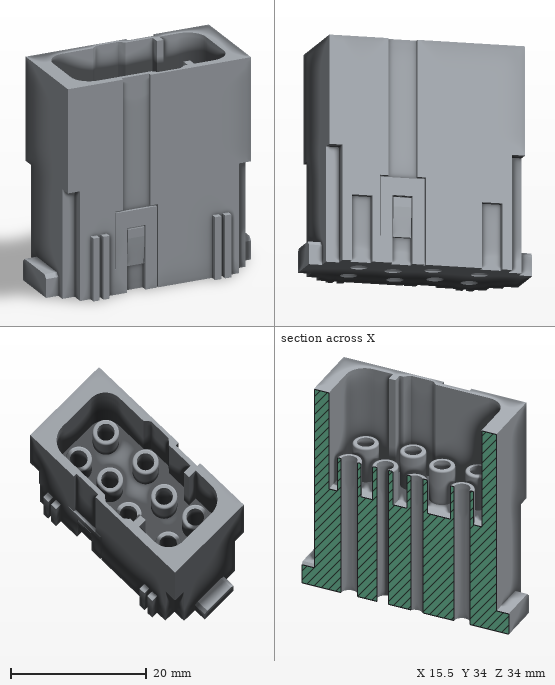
import cadquery as cq

WIDTH = 14.52
LENGTH = 30.0
OVERALL_LENGTH = 34.0
HEIGHT = 34.0
CORNER_CUT_X = 1.9
CORNER_CUT_Y = 2.0
CORNER_CUT_HEIGHT = 17.45

CAVITY_WIDTH = 12.0
CAVITY_LENGTH = 25.0
CAVITY_CORNER_RADIUS = 3.0
CAVITY_FLOOR = CORNER_CUT_HEIGHT
POCKET_RADIUS = 3.47
POCKET_REACH = 6.73
KEY_LENGTH = 1.43
KEY_WIDTH = 1.1
KEY_Y = 5.75

TUBE_DIAMETER = 3.9
TUBE_TOP = 23.2
TUBE_TOP_ROUNDING = 0.27
BORE_DIAMETER = 2.6
END_CONTACT = (2.85, 9.25)
MIDDLE_CONTACT = (1.9, -3.75)
SIDE_CONTACT = (3.75, 1.9)

TAB_PROJECTION = (OVERALL_LENGTH - LENGTH) / 2
TAB_HEIGHT = 3.57
TAB_BEVEL = 0.58
FRONT_TAB_WIDTH = 8.0
BACK_TAB_WIDTH = 6.12

JOINT_Y = 9.95
JOINT_HEIGHT = 10.0
RIB_PROJECTION = 1.02
RIB_WIDTH = 1.02
RIB_PAIR_SPAN = 2.65
NOTCH_WIDTH = 3.13
NOTCH_DEPTH = 1.0

GROOVE_Y = 3.7
GROOVE_WIDTH = 4.5
GROOVE_DEPTH = 0.58
RECESS_WIDTH = 7.0
RECESS_TOP = 13.23
PLATE_THICKNESS = 0.45
PLATE_FOOT = 4.05
PLATE_TOP_GAP = 0.27
PLATE_INNER_GAP = 0.25
PLATE_OUTER_GAP = 0.07
WINDOW_WIDTH = 3.03
WINDOW_TOP = 10.27
WEDGE_GAP = 0.15
WEDGE_TOP = JOINT_HEIGHT
WEDGE_KNEE = 8.57
WEDGE_SLOPE_DEPTH = 0.4


def block(x_range, y_range, z_range):
    """Box filling the given ranges, each a (low, high) pair."""
    sizes = [high - low for low, high in (x_range, y_range, z_range)]
    corner = (x_range[0], y_range[0], z_range[0])
    return cq.Workplane("XY").box(*sizes, centered=False).translate(corner)


def span(centre, size):
    return (centre - size / 2, centre + size / 2)


def half_turn(shape):
    """The shape turned 180 degrees about the vertical centre line."""
    return shape.rotate((0, 0, 0), (0, 0, 1), 180)


def make_block():
    body = block(span(0, WIDTH), span(0, LENGTH), (0, HEIGHT))
    for x in (-WIDTH / 2, WIDTH / 2):
        for y in (-LENGTH / 2, LENGTH / 2):
            corner = block(span(x, 2 * CORNER_CUT_X), span(y, 2 * CORNER_CUT_Y), (0, CORNER_CUT_HEIGHT))
            body = body.cut(corner)
    return body


def make_cavity():
    depth = HEIGHT - CAVITY_FLOOR
    cavity = block(span(0, CAVITY_WIDTH), span(0, CAVITY_LENGTH), (CAVITY_FLOOR, HEIGHT))
    cavity = cavity.edges("|Z").fillet(CAVITY_CORNER_RADIUS)

    pocket = cq.Workplane("XY", origin=(*SIDE_CONTACT, CAVITY_FLOOR)).circle(POCKET_RADIUS).extrude(depth)
    pocket = pocket.intersect(block((0, POCKET_REACH), span(0, LENGTH), (CAVITY_FLOOR, HEIGHT)))
    cavity = cavity.union(pocket).union(half_turn(pocket))

    for side in (-1, 1):
        key_x = side * (CAVITY_WIDTH - KEY_LENGTH) / 2
        cavity = cavity.cut(block(span(key_x, KEY_LENGTH), span(KEY_Y, KEY_WIDTH), (CAVITY_FLOOR, HEIGHT)))
    return cavity


def contact_points():
    end_x, end_y = END_CONTACT
    points = [(end_x, end_y), (-end_x, end_y)]
    points += [MIDDLE_CONTACT, SIDE_CONTACT]
    return points + [(-x, -y) for x, y in points]


def add_contacts(body):
    points = contact_points()
    tubes = cq.Workplane("XY", origin=(0, 0, CAVITY_FLOOR)).pushPoints(points)
    tubes = tubes.circle(TUBE_DIAMETER / 2).extrude(TUBE_TOP - CAVITY_FLOOR)
    tubes = tubes.faces(">Z").edges().fillet(TUBE_TOP_ROUNDING)
    bores = cq.Workplane("XY").pushPoints(points).circle(BORE_DIAMETER / 2).extrude(TUBE_TOP)
    return body.union(tubes).cut(bores)


def make_tab(width, side):
    y_middle = side * (LENGTH + TAB_PROJECTION) / 2
    tab = block(span(0, width), span(y_middle, TAB_PROJECTION), (0, TAB_HEIGHT))
    return tab.edges("|Y and >Z").chamfer(TAB_BEVEL)


def add_joints(body):
    wall = WIDTH / 2
    for joint_y in (-JOINT_Y, JOINT_Y):
        for side in (-1, 1):
            rib_y = joint_y + side * (RIB_PAIR_SPAN - RIB_WIDTH) / 2
            body = body.union(block((wall, wall + RIB_PROJECTION), span(rib_y, RIB_WIDTH), (0, JOINT_HEIGHT)))
        body = body.cut(block((-wall, -wall + NOTCH_DEPTH), span(joint_y, NOTCH_WIDTH), (0, JOINT_HEIGHT)))
    return body


def make_latch_cut():
    """Everything removed from the -X wall around the latch plate and wedge."""
    wall = -WIDTH / 2
    depth = (wall, wall + GROOVE_DEPTH)
    recess_inner, recess_outer = span(GROOVE_Y, RECESS_WIDTH)
    plate_inner = recess_inner + PLATE_INNER_GAP
    plate_outer = recess_outer - PLATE_OUTER_GAP
    plate_y = (plate_inner + plate_outer) / 2

    groove = block(depth, span(GROOVE_Y, GROOVE_WIDTH), (RECESS_TOP, HEIGHT))
    recess = block(depth, (recess_inner, recess_outer), (PLATE_FOOT, RECESS_TOP))
    plate = block(
        (wall, wall + PLATE_THICKNESS), (plate_inner, plate_outer), (PLATE_FOOT, RECESS_TOP - PLATE_TOP_GAP)
    )
    foot_slit = block(depth, (recess_inner, plate_inner), (0, PLATE_FOOT))
    window = block((wall, wall + NOTCH_DEPTH), span(plate_y, WINDOW_WIDTH), (0, WINDOW_TOP))

    wedge_width = WINDOW_WIDTH - 2 * WEDGE_GAP
    wedge = (
        cq.Workplane("XZ", origin=(0, plate_y + wedge_width / 2, 0))
        .moveTo(wall + NOTCH_DEPTH, PLATE_FOOT)
        .lineTo(wall + WEDGE_SLOPE_DEPTH, PLATE_FOOT)
        .lineTo(wall, WEDGE_KNEE)
        .lineTo(wall, WEDGE_TOP)
        .lineTo(wall + NOTCH_DEPTH, WEDGE_TOP)
        .close()
        .extrude(wedge_width)
    )
    return groove.union(recess).cut(plate).union(foot_slit).union(window).cut(wedge)


body = make_block().cut(make_cavity())
body = add_contacts(body)
body = body.union(make_tab(FRONT_TAB_WIDTH, -1)).union(make_tab(BACK_TAB_WIDTH, 1))
body = add_joints(body)

latch_cut = make_latch_cut()
result = body.cut(latch_cut).cut(half_turn(latch_cut))